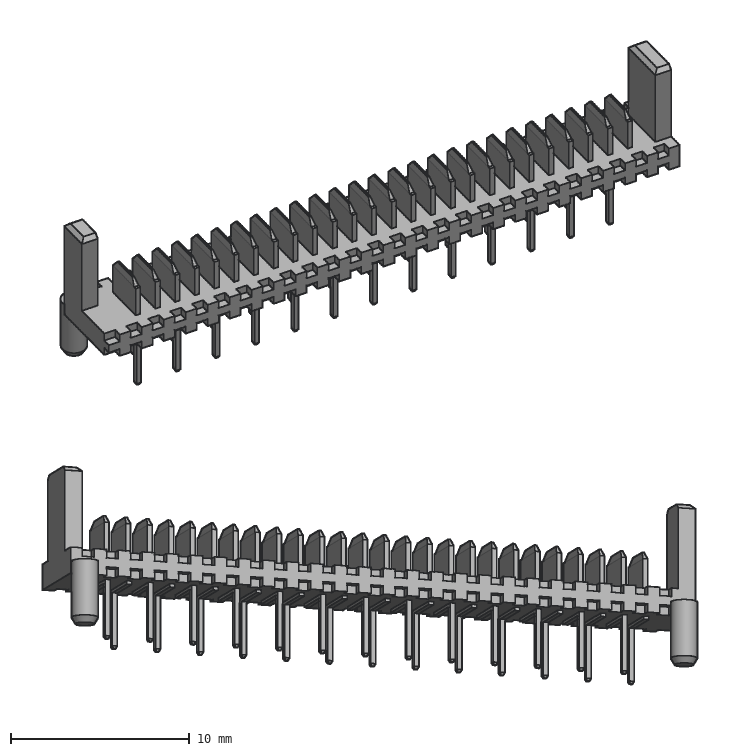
import cadquery as cq

length = 36.85
body_width = 5.0
body_height = 1.47
y_min = -length / 2
y_max = length / 2

notch_depth = 0.5
notch_height = 0.48
notch_length = 0.7
first_notch_inset = 1.05
notch_count = 26
notch_pitch = (length - first_notch_inset - notch_length / 2) / (notch_count - 1)

post_top = 6.35
post_thickness = 1.05
post_bevel = 0.25
front_post_width = 2.0
rear_post_start = 1.07
rear_post_width = 3.02

peg_diameter = 1.5
peg_overhang = 0.95
peg_top = 0.65
peg_bottom = -2.9
peg_bevel_height = 0.37
peg_bevel_inset = 0.22
peg_x = peg_diameter / 2 - peg_overhang
peg_y = length / 2 - peg_diameter / 2

blade_count = 26
blade_inset = 2.55
blade_pitch = (length - 2 * blade_inset) / (blade_count - 1)
blade_thickness = 0.3
blade_start = 1.3
blade_width = 2.58
blade_top = 3.75
blade_shoulder = 3.3
tip_ledge = 0.2
tip_run = 0.37
ridge_thickness = 0.1
leg_width = 0.35
leg_bottom = -3.35
leg_tip_height = 0.15
leg_tip_scale = 0.5
foot_height = 0.2
near_leg_x = 1.25
leg_spacing = 2.55
far_leg_x = near_leg_x + leg_spacing


def box(x, y, z, dx, dy, dz):
    """Box with its lowest corner at (x, y, z)."""
    return cq.Workplane("XY").box(dx, dy, dz, centered=False).translate((x, y, z))


def frustum(x, y, z, base_size, end_size, height):
    """Solid tapering from one centred rectangle to another; a negative height points down."""
    return (
        cq.Workplane("XY", origin=(x, y, z))
        .rect(*base_size)
        .workplane(offset=height)
        .rect(*end_size)
        .loft(ruled=True)
    )


def make_notches():
    notches = []
    for index in range(notch_count):
        y = y_max - first_notch_inset - index * notch_pitch - notch_length / 2
        for z in (0, body_height - notch_height):
            notches.append(box(body_width - notch_depth, y, z, notch_depth, notch_length, notch_height))
            if index < notch_count - 1:
                notches.append(box(0, y, z, notch_depth, notch_length, notch_height))
    return cq.Compound.makeCompound([notch.val() for notch in notches])


def make_post(x, y, width):
    """Post whose top is bevelled on its -X, -Y and +X edges."""
    post = box(x, y, 0, width, post_thickness, post_top)
    return post.faces(">Z").edges("|Y or <Y").chamfer(post_bevel)


def make_peg(y):
    radius = peg_diameter / 2
    return (
        cq.Workplane("XY", origin=(peg_x, y, peg_bottom))
        .circle(radius)
        .extrude(peg_top - peg_bottom)
        .faces("<Z")
        .chamfer(peg_bevel_height, peg_bevel_inset)
    )


def make_leg(x, y):
    section = (leg_width, blade_thickness)
    tip_section = (leg_width * leg_tip_scale, blade_thickness * leg_tip_scale)
    tip_start = leg_bottom + leg_tip_height
    shank = box(x - leg_width / 2, y - blade_thickness / 2, tip_start, *section, -tip_start)
    return shank.union(frustum(x, y, tip_start, section, tip_section, -leg_tip_height))


def make_contact(y, leg_x):
    side = y - blade_thickness / 2
    blade = box(blade_start, side, 0, blade_width, blade_thickness, blade_shoulder)
    tip_width = blade_width - tip_ledge
    tip = frustum(
        blade_start + tip_width / 2,
        y,
        blade_shoulder,
        (tip_width, blade_thickness),
        (tip_width - 2 * tip_run, ridge_thickness),
        blade_top - blade_shoulder,
    )
    foot_start = near_leg_x - leg_width / 2
    foot = box(foot_start, side, -foot_height, leg_spacing + leg_width, blade_thickness, foot_height)
    return blade.union(tip).union(foot).union(make_leg(leg_x, y))


body = box(0, y_min, 0, body_width, length, body_height).cut(make_notches())
body = body.union(make_post(0, y_min, front_post_width))
body = body.union(make_post(rear_post_start, y_max - post_thickness, rear_post_width))
body = body.union(make_peg(-peg_y)).union(make_peg(peg_y))

contacts = []
for index in range(blade_count):
    leg_position = near_leg_x if index % 2 == 0 else far_leg_x
    contacts.append(make_contact(y_max - blade_inset - index * blade_pitch, leg_position).val())

result = cq.Workplane("XY").newObject([body.val().fuse(*contacts)])